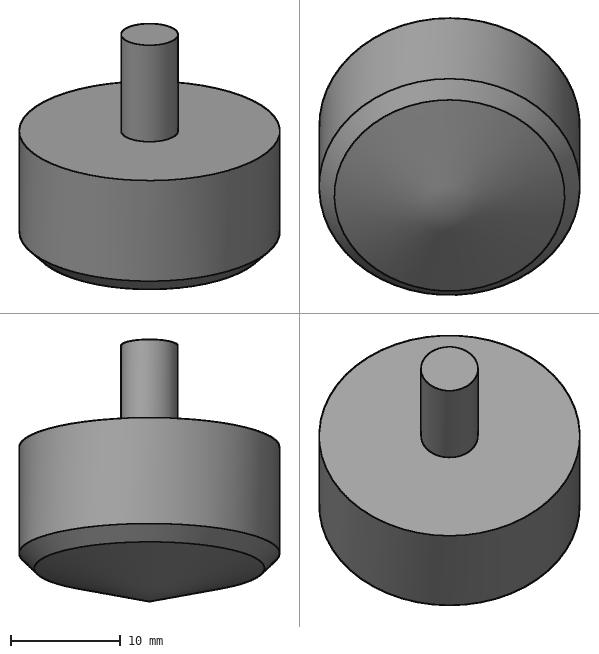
import cadquery as cq

total_height = 24.0
body_diameter = 23.8
pin_diameter = 5.2
pin_length = 9.53
chamfer_size = 1.4
cone_height = 3.15

body_radius = body_diameter / 2
cone_radius = body_radius - chamfer_size
pin_radius = pin_diameter / 2
rim_bottom = cone_height + chamfer_size
body_top = total_height - pin_length

half_section = (
    cq.Workplane("XZ")
    .moveTo(0, 0)
    .lineTo(cone_radius, cone_height)
    .lineTo(body_radius, rim_bottom)
    .lineTo(body_radius, body_top)
    .lineTo(pin_radius, body_top)
    .lineTo(pin_radius, total_height)
    .lineTo(0, total_height)
    .close()
)

result = half_section.revolve(360, (0, 0, 0), (0, 1, 0))